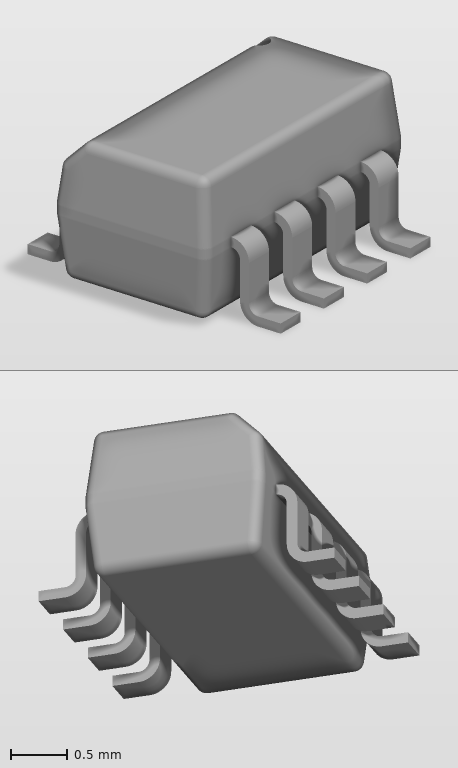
import cadquery as cq
import math

body_width = 1.7
body_length = 3.0
standoff = 0.05
total_height = 1.45
draft_angle = 6.0
edge_radius = 0.1

lead_span = 2.8
lead_thickness = 0.1
lead_width = 0.3
lead_pitch = 0.65
leads_per_side = 4
bend_inner_radius = 0.1
bend_outer_radius = bend_inner_radius + lead_thickness

band_height = lead_thickness
parting_height = (standoff + total_height) / 2
band_bottom = parting_height - band_height / 2
band_top = parting_height + band_height / 2

bevel_start_x = -0.548

dimple_radius = 0.105
dimple_depth = 0.1
dimple_x = -0.562
dimple_y = 1.22


def body_half(base_z, height):
    """Block that tapers inwards as it rises from base_z."""
    return (
        cq.Workplane("XY", origin=(0, 0, base_z))
        .rect(body_width, body_length)
        .extrude(height, taper=draft_angle)
    )


def make_body():
    """Rounded, bevelled body with the pin 1 dimple."""
    half_height = total_height - band_top
    top_half = body_half(band_top, half_height)
    bottom_half = body_half(-band_bottom, half_height).mirror("XY")
    band = (
        cq.Workplane("XY", origin=(0, 0, band_bottom))
        .rect(body_width, body_length)
        .extrude(band_height)
    )
    block = band.union(top_half).union(bottom_half)

    bevel_size = body_width / 2
    bevel_cutter = (
        cq.Workplane("XZ")
        .moveTo(bevel_start_x, total_height)
        .line(-bevel_size, 0)
        .line(0, -bevel_size)
        .close()
        .extrude(body_length / 2, both=True)
    )
    rounded = block.cut(bevel_cutter).edges().fillet(edge_radius)

    dimple = (
        cq.Workplane("XY", origin=(dimple_x, dimple_y, total_height - dimple_depth))
        .circle(dimple_radius)
        .extrude(2 * dimple_depth)
    )
    return rounded.cut(dimple)


def make_lead(side, y):
    """One S-shaped lead; side is +1 or -1 for the +X or -X side of the body."""
    mid_arc = math.sqrt(0.5)
    root_x = body_width / 2
    shoulder_z = band_top - bend_outer_radius
    shank_outer = root_x + bend_outer_radius
    shank_inner = shank_outer - lead_thickness
    heel_x = shank_outer + bend_inner_radius
    heel_z = bend_outer_radius
    toe_x = lead_span / 2

    def on_arc(center_x, center_z, radius, x_sign, z_sign):
        """Middle point of a quarter arc in the quadrant given by the two signs."""
        return (center_x + x_sign * radius * mid_arc, center_z + z_sign * radius * mid_arc)

    profile = (
        cq.Workplane("XZ", origin=(0, y + lead_width / 2, 0))
        .moveTo(root_x, band_top)
        .threePointArc(on_arc(root_x, shoulder_z, bend_outer_radius, 1, 1), (shank_outer, shoulder_z))
        .lineTo(shank_outer, heel_z)
        .threePointArc(on_arc(heel_x, heel_z, bend_inner_radius, -1, -1), (heel_x, lead_thickness))
        .lineTo(toe_x, lead_thickness)
        .lineTo(toe_x, 0)
        .lineTo(heel_x, 0)
        .threePointArc(on_arc(heel_x, heel_z, bend_outer_radius, -1, -1), (shank_inner, heel_z))
        .lineTo(shank_inner, shoulder_z)
        .threePointArc(on_arc(root_x, shoulder_z, bend_inner_radius, 1, 1), (root_x, band_bottom))
        .close()
    )
    lead = profile.extrude(lead_width)
    return lead if side > 0 else lead.mirror("YZ")


body = make_body()
leads = []
for side in (-1, 1):
    for index in range(leads_per_side):
        lead_y = (index - (leads_per_side - 1) / 2) * lead_pitch
        leads.append(make_lead(side, lead_y).val())

result = cq.Compound.makeCompound([body.val(), *leads])